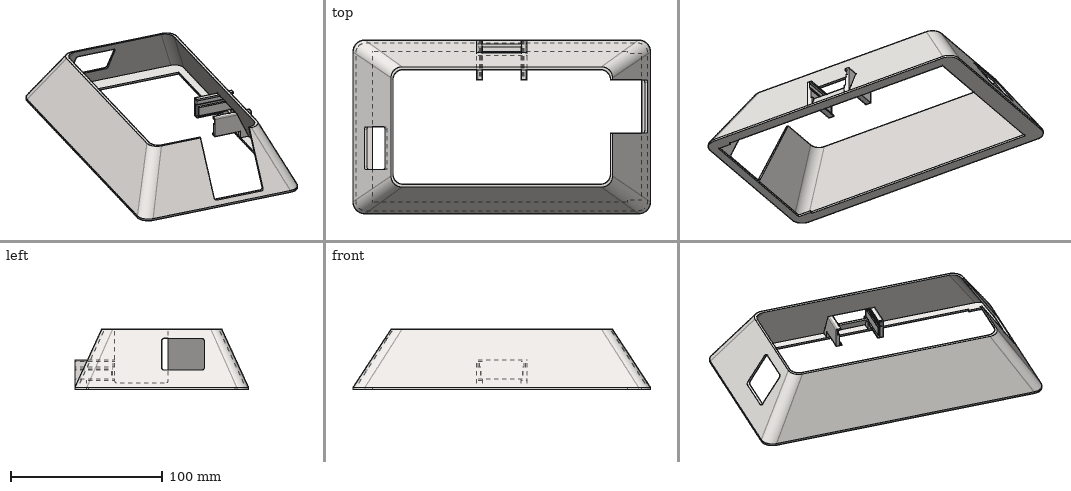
import cadquery as cq
LENGTH = 197.0
WIDTH = 115.0
HEIGHT = 40.0
BASE_CORNER_RADIUS = 7.9

RING_THICKNESS = 1.4
RING_OPENING_LEFT = -85.5
RING_OPENING_STEP = 83.1
RING_OPENING_RIGHT = 92.5
RING_OPENING_HALF_WIDTH = 49.8
RING_NARROW_HALF_WIDTH = 48.5

RIM_LENGTH = 146.5
RIM_WIDTH = 79.5
RIM_CORNER_RADIUS = 7.3
WALL = 2.0
RIM_END_WALL = 1.4
INNER_CORNER_RADIUS = 6.5

WINDOW_Y_MIN = -28.2
WINDOW_Y_MAX = 0.0
WINDOW_Z_MIN = 13.0
WINDOW_Z_MAX = 33.9
CUTOUT_RADIUS = 1.5

NOTCH_Y_MIN = -4.1
NOTCH_Y_MAX = 31.1
NOTCH_Z_MIN = 4.3

RAIL_OUTER_X = 16.5
RAIL_INNER_X = 12.6
RAIL_FRONT_Y = 31.1
RAIL_BOTTOM = 6.1
RAIL_TOP = 19.7
RAIL_ROUNDING = 0.69
RAIL_FLANGE_X = 13.2
RAIL_SIDE_X = 14.2
RAIL_LIP_TOP = 6.9
PAD_X = 13.5
PAD_CHAMFER = RAIL_SIDE_X - PAD_X
PAD_INSET = 1.4
GROOVE_BOTTOM = 15.0
GROOVE_TOP = 18.5
GROOVE_FLOOR_X = 14.8
GROOVE_LEAD_IN = 1.0

BACK_Y = WIDTH / 2
SLOPE_HEIGHT = HEIGHT - RING_THICKNESS


def box_between(x_range, y_range, z_range):
    """Box spanning the given (min, max) ranges."""
    size = [high - low for low, high in (x_range, y_range, z_range)]
    corner = (x_range[0], y_range[0], z_range[0])
    return cq.Workplane("XY").box(*size, centered=False).translate(corner)


def rounded_rectangle(length, width, radius):
    """Centred rectangle sketch with rounded corners."""
    return cq.Sketch().rect(length, width).vertices().fillet(radius)


def tapered_block(base, rim):
    """Loft between two rounded rectangles, each (length, width, radius)."""
    return (
        cq.Workplane("XY", origin=(0, 0, RING_THICKNESS))
        .placeSketch(
            rounded_rectangle(*base),
            rounded_rectangle(*rim).moved(cq.Location(cq.Vector(0, 0, SLOPE_HEIGHT))),
        )
        .loft(ruled=True)
    )


def make_base_ring():
    """Flat frame whose opening gets slightly narrower near its right end."""
    ring = (
        cq.Workplane("XY")
        .placeSketch(rounded_rectangle(LENGTH, WIDTH, BASE_CORNER_RADIUS))
        .extrude(RING_THICKNESS)
    )
    depth = (0, RING_THICKNESS)
    main_opening = box_between(
        (RING_OPENING_LEFT, RING_OPENING_STEP),
        (-RING_OPENING_HALF_WIDTH, RING_OPENING_HALF_WIDTH),
        depth,
    )
    narrow_opening = box_between(
        (RING_OPENING_STEP, RING_OPENING_RIGHT),
        (-RING_NARROW_HALF_WIDTH, RING_NARROW_HALF_WIDTH),
        depth,
    )
    return ring.cut(main_opening).cut(narrow_opening)


def make_walls():
    """Hollow tapered block, open at the ring and at the rim."""
    outside = tapered_block(
        (LENGTH, WIDTH, BASE_CORNER_RADIUS),
        (RIM_LENGTH, RIM_WIDTH, RIM_CORNER_RADIUS),
    )
    inside = tapered_block(
        (LENGTH - 2 * WALL, WIDTH - 2 * WALL, INNER_CORNER_RADIUS),
        (RIM_LENGTH - 2 * RIM_END_WALL, RIM_WIDTH - 2 * WALL, INNER_CORNER_RADIUS),
    )
    return outside.cut(inside)


def window_cutter():
    return (
        box_between((-LENGTH / 2, 0), (WINDOW_Y_MIN, WINDOW_Y_MAX), (WINDOW_Z_MIN, WINDOW_Z_MAX))
        .edges("|X")
        .fillet(CUTOUT_RADIUS)
    )


def notch_cutter():
    return (
        box_between((0, LENGTH / 2), (NOTCH_Y_MIN, NOTCH_Y_MAX), (NOTCH_Z_MIN, HEIGHT))
        .edges("|X and <Z")
        .fillet(CUTOUT_RADIUS)
    )


def back_opening_cutter():
    """Gap in the back wall for the two rails; the wall below it stays as a sill."""
    return box_between((-RAIL_OUTER_X, RAIL_OUTER_X), (0, BACK_Y), (RAIL_LIP_TOP, RAIL_TOP))


def make_shell():
    return make_walls().cut(window_cutter()).cut(notch_cutter()).cut(back_opening_cutter())


def make_rail_bar():
    """Bar along Y with a rounded outer top edge, and a lip and a groove on its inner side."""
    profile = [
        (RAIL_OUTER_X, RAIL_BOTTOM),
        (RAIL_OUTER_X, RAIL_TOP),
        (RAIL_FLANGE_X, RAIL_TOP),
        (RAIL_FLANGE_X, GROOVE_TOP),
        (GROOVE_FLOOR_X, GROOVE_TOP),
        (GROOVE_FLOOR_X, GROOVE_BOTTOM),
        (RAIL_SIDE_X, GROOVE_BOTTOM),
        (RAIL_SIDE_X, RAIL_LIP_TOP),
        (RAIL_INNER_X, RAIL_LIP_TOP),
        (RAIL_INNER_X, RAIL_BOTTOM),
    ]
    return (
        cq.Workplane("XZ", origin=(0, BACK_Y, 0))
        .polyline(profile)
        .close()
        .extrude(BACK_Y - RAIL_FRONT_Y)
        .faces(">Z")
        .edges(">X")
        .fillet(RAIL_ROUNDING)
    )


def groove_lead_in_cutter():
    """Wedge that chamfers the front end of the groove floor."""
    return (
        cq.Workplane("XY", origin=(GROOVE_FLOOR_X, RAIL_FRONT_Y, GROOVE_BOTTOM))
        .polyline([(0, 0), (GROOVE_LEAD_IN, 0), (0, GROOVE_LEAD_IN)])
        .close()
        .extrude(GROOVE_TOP - GROOVE_BOTTOM)
    )


def make_rail_pad():
    """Raised pad above the lip, chamfered along its top and front edges."""
    return (
        box_between(
            (PAD_X, RAIL_OUTER_X),
            (RAIL_FRONT_Y + PAD_INSET, BACK_Y),
            (RAIL_LIP_TOP, GROOVE_BOTTOM - PAD_INSET),
        )
        .faces("<X")
        .edges(">Z or <Y")
        .chamfer(PAD_CHAMFER)
    )


def make_rail_foot():
    """Block that carries the bar on the ring's ledge."""
    return box_between(
        (RAIL_INNER_X, RAIL_OUTER_X),
        (RING_OPENING_HALF_WIDTH, BACK_Y),
        (RING_THICKNESS, RAIL_LIP_TOP),
    )


def make_right_rail(shell):
    """Bar, pad and foot in one piece, with the foot slotted to straddle the sill."""
    bar = make_rail_bar().cut(groove_lead_in_cutter())
    return bar.union(make_rail_pad()).union(make_rail_foot()).cut(shell)


base_ring = make_base_ring()
shell = make_shell()
right_rail = make_right_rail(shell)
left_rail = right_rail.mirror("YZ")

result = cq.Compound.makeCompound(
    [body.solids().val() for body in (base_ring, shell, right_rail, left_rail)]
)